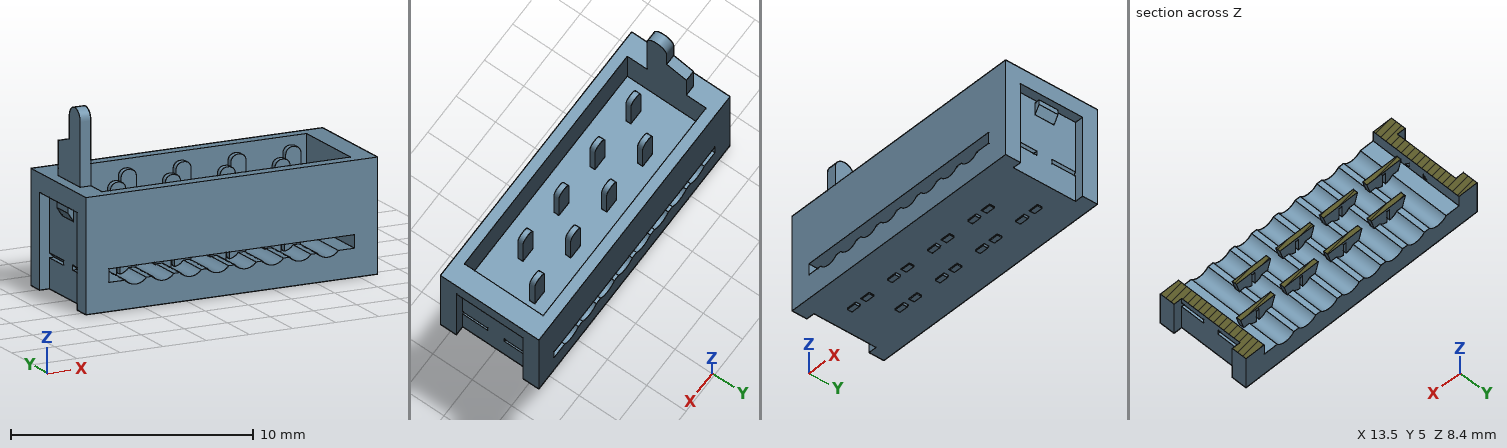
import cadquery as cq

length = 13.53
width = 5.0
height = 5.03

pocket_end_wall = 1.0
pocket_side_wall = 0.5
pocket_depth = 2.04
pocket_floor = height - pocket_depth

contact_count = 8
pitch = 1.27
row_offset = 0.76
contact_thickness = 0.26

passage_length = 11.38
passage_bottom = 1.26
passage_top = 1.84
groove_half_width = 0.49
groove_depth = 0.23

blade_top_half_width = 1.0
blade_tip_half_width = 0.69
blade_shoulder = 0.81
blade_tip = -0.07
fork_gap = 0.16
fork_top = 1.69
mouth_half_width = 0.22
mouth_top = 0.07

pin_width = 0.7
pin_top = 4.99
pin_corner_radius = 0.31

recess_width = 3.38
recess_height = 4.2
recess_depth = 0.45
nub_width = 1.03
nub_top = 4.07
nub_front_bottom = 3.83
nub_bottom = 3.44
nub_reach = 0.26
notch_floor = 1.34
notch_height = 0.22
notch_inner_y = 0.42
see_through_width = 0.2

latch_thickness = 0.5
latch_half_width = 1.0
latch_step_low = 1.52
latch_step_high = 1.83
latch_height = 3.3

contact_x = [(i - (contact_count - 1) / 2) * pitch for i in range(contact_count)]


def block(x_size, y_size, bottom, top):
    """Box centred on X and Y between two heights."""
    return cq.Workplane("XY").workplane(offset=bottom).rect(x_size, y_size).extrude(top - bottom)


def extrude_along_y(outline, thickness, y):
    """Extrude an XZ sketch symmetrically about the given Y."""
    return outline.extrude(thickness / 2, both=True).translate((0, y, 0))


def wire_groove(x):
    """Shallow circular groove across the floor of the cable passage."""
    outline = (
        cq.Workplane("XZ")
        .moveTo(x - groove_half_width, passage_bottom)
        .threePointArc((x, passage_bottom - groove_depth), (x + groove_half_width, passage_bottom))
        .close()
    )
    return extrude_along_y(outline, width, 0)


def contact(x, y):
    """Forked blade below and round-cornered pin above, in one flat strip."""
    blade = cq.Workplane("XZ").polyline([
        (-blade_top_half_width, passage_top),
        (-blade_tip_half_width, blade_shoulder),
        (-blade_tip_half_width, blade_tip),
        (-mouth_half_width, blade_tip),
        (-fork_gap / 2, mouth_top),
        (-fork_gap / 2, fork_top),
        (fork_gap / 2, fork_top),
        (fork_gap / 2, mouth_top),
        (mouth_half_width, blade_tip),
        (blade_tip_half_width, blade_tip),
        (blade_tip_half_width, blade_shoulder),
        (blade_top_half_width, passage_top),
    ]).close()
    pin = (
        block(pin_width, contact_thickness, passage_top, pin_top)
        .edges("|Y and >Z")
        .fillet(pin_corner_radius)
    )
    return extrude_along_y(blade, contact_thickness, 0).union(pin).translate((x, y, 0))


def end_notch(side):
    """Wedge-shaped notch in the left recess, its 45 degree roof meeting the flat floor."""
    recess_x = -length / 2 + recess_depth
    notch_length = recess_width / 2 - notch_inner_y
    wedge = (
        cq.Workplane("XZ")
        .polyline([
            (recess_x, notch_floor),
            (recess_x + notch_height, notch_floor),
            (recess_x, notch_floor + notch_height),
        ])
        .close()
    )
    return extrude_along_y(wedge, notch_length, side * (notch_inner_y + notch_length / 2))


def see_through_channel(side):
    """Small triangular channel running from one end recess to the other."""
    return (
        cq.Workplane("YZ")
        .polyline([
            (side * notch_inner_y, notch_floor),
            (side * (notch_inner_y + see_through_width), notch_floor),
            (side * notch_inner_y, notch_floor + see_through_width),
        ])
        .close()
        .extrude(length / 2 - recess_depth, both=True)
    )


def end_cutout():
    """Material removed at the left end: the open-bottomed recess around its nub, and the notches."""
    recess_x = -length / 2 + recess_depth
    recess = block(2 * recess_depth, recess_width, 0, recess_height).translate((-length / 2, 0, 0))
    nub_outline = (
        cq.Workplane("XZ")
        .polyline([
            (recess_x, nub_bottom),
            (recess_x - nub_reach, nub_front_bottom),
            (recess_x - nub_reach, nub_top),
            (recess_x, nub_top),
        ])
        .close()
    )
    nub = extrude_along_y(nub_outline, nub_width, 0)
    return recess.cut(nub).union(end_notch(1)).union(end_notch(-1))


def latch():
    """Stepped plate with a rounded finger on its -Y half."""
    finger_radius = latch_half_width / 2
    arc_start = latch_height - finger_radius
    return (
        cq.Workplane("YZ", origin=(-length / 2 + pocket_end_wall - latch_thickness, 0, height))
        .moveTo(latch_half_width, 0)
        .lineTo(latch_half_width, latch_step_low)
        .lineTo(0, latch_step_high)
        .lineTo(0, arc_start)
        .threePointArc((-finger_radius, latch_height), (-latch_half_width, arc_start))
        .lineTo(-latch_half_width, 0)
        .close()
        .extrude(latch_thickness)
    )


housing = block(length, width, 0, height)
housing = housing.cut(
    block(length - 2 * pocket_end_wall, width - 2 * pocket_side_wall, pocket_floor, height)
)
housing = housing.cut(block(passage_length, width, passage_bottom, passage_top))
for x in contact_x:
    housing = housing.cut(wire_groove(x))

left_cutout = end_cutout()
housing = housing.cut(left_cutout).cut(left_cutout.mirror("YZ"))
for side in (-1, 1):
    housing = housing.cut(see_through_channel(side))

result = housing.union(latch())
for i, x in enumerate(contact_x):
    row = -1 if i % 2 == 0 else 1
    result = result.union(contact(x, row * row_offset))